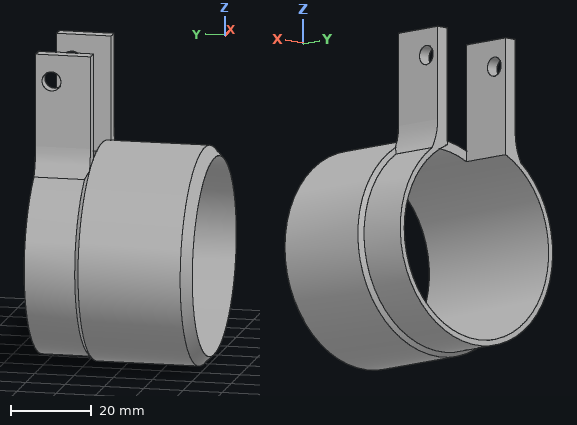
import cadquery as cq
import math

total_length = 42.5
bore_radius = 50.0 / 2
sleeve_radius = 55.0 / 2
front_chamfer = sleeve_radius - bore_radius

band_radius = 52.85 / 2
band_length = 14.0
shoulder_y = total_length - band_length
shoulder_bevel = sleeve_radius - band_radius

total_height = 79.85
ear_top = total_height - sleeve_radius
ear_gap = 20.2
ear_thickness = 3.35
ear_inner_x = ear_gap / 2
ear_outer_x = ear_inner_x + ear_thickness
flare_radius = 14.4
flare_top = 28.8
flare_foot_x = 15.4

hole_diameter = 4.8
hole_from_top = 6.8
hole_from_rear = 4.1


def make_sleeve():
    """Revolve the solid wall, from the bevelled front lip to the clamp band."""
    return (
        cq.Workplane("XY")
        .moveTo(0, 0)
        .lineTo(bore_radius, 0)
        .lineTo(sleeve_radius, front_chamfer)
        .lineTo(sleeve_radius, shoulder_y)
        .lineTo(band_radius, shoulder_y + shoulder_bevel)
        .lineTo(band_radius, total_length)
        .lineTo(0, total_length)
        .close()
        .revolve(360, (0, 0, 0), (0, 1, 0))
    )


def rear_plane():
    """Plane of the rear face, with local x along X and local y along Z."""
    return cq.Workplane(cq.Plane((0, total_length, 0), (1, 0, 0), (0, -1, 0)))


def make_ear(side):
    """Ear on one side (+1 or -1), its outer face flaring into the band."""
    foot_z = math.sqrt(band_radius**2 - flare_foot_x**2)
    flare_angle = math.acos(1 - (flare_foot_x - ear_outer_x) / flare_radius)
    middle_x = ear_outer_x + flare_radius * (1 - math.cos(flare_angle / 2))
    middle_z = flare_top - flare_radius * math.sin(flare_angle / 2)
    return (
        rear_plane()
        .moveTo(side * ear_inner_x, 0)
        .lineTo(side * ear_inner_x, ear_top)
        .lineTo(side * ear_outer_x, ear_top)
        .lineTo(side * ear_outer_x, flare_top)
        .threePointArc((side * middle_x, middle_z), (side * flare_foot_x, foot_z))
        .close()
        .extrude(band_length)
    )


def make_split():
    """Opening in the top of the band, between the ears."""
    return (
        rear_plane()
        .center(0, ear_top / 2)
        .rect(ear_gap, ear_top)
        .extrude(band_length)
    )


def make_ear_hole():
    """Cylinder along X that pierces both ears."""
    return (
        cq.Workplane("YZ")
        .center(total_length - hole_from_rear, ear_top - hole_from_top)
        .circle(hole_diameter / 2)
        .extrude(2 * ear_outer_x, both=True)
    )


bore = rear_plane().circle(bore_radius).extrude(total_length)

result = make_sleeve()
for side in (-1, 1):
    result = result.union(make_ear(side))
result = result.cut(bore).cut(make_split()).cut(make_ear_hole())